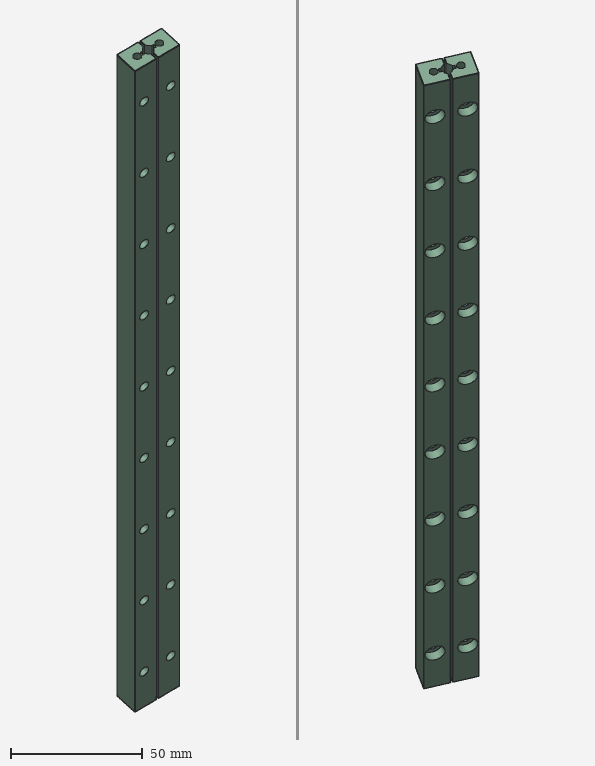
import cadquery as cq
import math

LENGTH = 360.0
RAIL_THICKNESS = 11.0
PAIR_WIDTH = 22.0

RAIL_GAP = 0.7
RAIL_WIDTH = (PAIR_WIDTH - RAIL_GAP) / 2
INNER_FACE_Y = RAIL_GAP / 2
EDGE_CHAMFER = 0.2
ROLLER_SIZE = 4.5
GROOVE_HALF_MOUTH = ROLLER_SIZE / math.sqrt(2) - INNER_FACE_Y
RELIEF_WIDTH = 1.5
RELIEF_FLOOR_Y = 3.2

HOLE_COUNT = 9
HOLE_PITCH = LENGTH / HOLE_COUNT
HOLE_ROW_SPACING = 13.0
HOLE_DIAMETER = 4.5
COUNTERBORE_DIAMETER = 8.0
COUNTERBORE_DEPTH = 4.0

END_HOLE_SPACING = 10.8
END_HOLE_DIAMETER = 3.2
END_HOLE_DEPTH = 8.0
END_HOLE_TIP_DEPTH = 0.9


def rail_blank():
    """Bar with its inner face at INNER_FACE_Y and every edge broken by a small chamfer."""
    bar = cq.Workplane("XY").box(RAIL_THICKNESS, RAIL_WIDTH, LENGTH)
    bar = bar.translate((0, INNER_FACE_Y + RAIL_WIDTH / 2, 0))
    return bar.edges().chamfer(EDGE_CHAMFER)


def roller_groove():
    """V-groove with a narrow relief slot along its bottom."""
    half_relief = RELIEF_WIDTH / 2
    relief_top_y = INNER_FACE_Y + GROOVE_HALF_MOUTH - half_relief
    return (
        cq.Workplane("XY")
        .workplane(offset=-LENGTH / 2)
        .moveTo(-GROOVE_HALF_MOUTH, INNER_FACE_Y)
        .lineTo(-half_relief, relief_top_y)
        .lineTo(-half_relief, RELIEF_FLOOR_Y)
        .lineTo(half_relief, RELIEF_FLOOR_Y)
        .lineTo(half_relief, relief_top_y)
        .lineTo(GROOVE_HALF_MOUTH, INNER_FACE_Y)
        .close()
        .extrude(LENGTH)
    )


def drill_mounting_holes(rail):
    hole_y = HOLE_ROW_SPACING / 2
    first_z = -HOLE_PITCH * (HOLE_COUNT - 1) / 2
    for index in range(HOLE_COUNT):
        start = cq.Vector(-RAIL_THICKNESS / 2, hole_y, first_z + index * HOLE_PITCH)
        inward = cq.Vector(1, 0, 0)
        bore = cq.Solid.makeCylinder(HOLE_DIAMETER / 2, RAIL_THICKNESS, start, inward)
        counterbore = cq.Solid.makeCylinder(COUNTERBORE_DIAMETER / 2, COUNTERBORE_DEPTH, start, inward)
        rail = rail.cut(bore).cut(counterbore)
    return rail


def drill_end_holes(rail):
    radius = END_HOLE_DIAMETER / 2
    for end in (-1, 1):
        start = cq.Vector(0, END_HOLE_SPACING / 2, end * LENGTH / 2)
        inward = cq.Vector(0, 0, -end)
        bore = cq.Solid.makeCylinder(radius, END_HOLE_DEPTH, start, inward)
        tip_start = start + inward * END_HOLE_DEPTH
        drill_tip = cq.Solid.makeCone(radius, 0, END_HOLE_TIP_DEPTH, tip_start, inward)
        rail = rail.cut(bore).cut(drill_tip)
    return rail


def make_rail():
    """Rail on the +Y side, with its groove facing -Y."""
    rail = rail_blank().cut(roller_groove())
    rail = drill_mounting_holes(rail)
    return drill_end_holes(rail)


rails = [make_rail().rotate((0, 0, 0), (1, 0, 0), angle) for angle in (0, 180)]

result = cq.Compound.makeCompound([rail.val() for rail in rails])